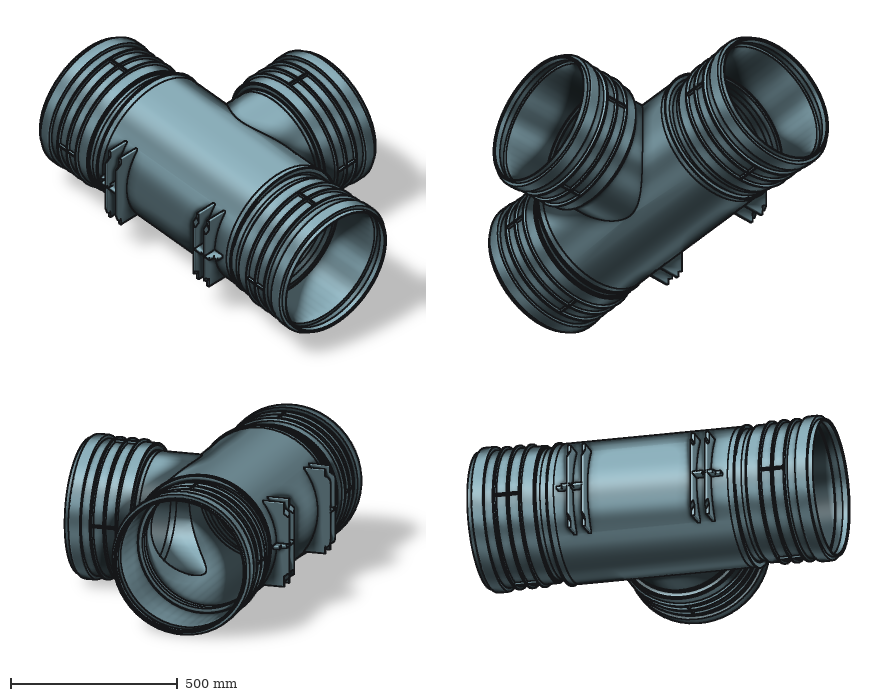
import cadquery as cq

RUN_LENGTH = 1076.2
BRANCH_END_Y = 476.0
TOTAL_DEPTH = 714.0
FOOT_BASE_Y = BRANCH_END_Y - TOTAL_DEPTH

SOCKET_LENGTH = 224.6
SHELL_DIA = 415.0
SHELL_END = 206.0
SHELL_CHAMFER = 2.5
SHOULDER_START = 208.5
SHOULDER_END = 212.0
SHOULDER_STEP = 2.0
SEAT_DIA = 404.0
SEAT_DEPTH = 206.0
SEAT_CHAMFER = 2.0
MOUTH_CHAMFER = 3.0

BEAD_DIA = 438.1
BEAD_START = 15.0
BEAD_END = 53.0
BEAD_FLANK = 1.0
BEAD_CHAMFER_LENGTH = 5.0
BEAD_CHAMFER_DEPTH = 1.0
GROOVE_DIA = 427.1
GROOVE_START = 21.0
GROOVE_END = 46.0

RIB_DIA = 431.0
RIBS = (
    (79.0, 84.0, 89.0, 92.0),
    (122.0, 124.5, 128.5, 131.0),
    (160.0, 163.0, 166.0, 169.0),
)
AXIAL_RIB_ROOT_WIDTH = 10.0
AXIAL_RIB_CREST_WIDTH = 4.0
AXIAL_RIB_DROP = 0.5
AXIAL_RIB_COUNT = 4

RUN_NECK_DIA = 400.0
RUN_NECK_BORE = 375.4
BRANCH_NECK_DIA = 371.0
BRANCH_NECK_BORE = 356.8

TUBE_DIA = 424.0
TUBE_BORE = 399.4
TUBE_AXIS_Y = (TUBE_DIA - RUN_NECK_DIA) / 2
BRANCH_DIA = 370.2
BRANCH_BORE = 356.2

REDUCER_NECK_DIA = 399.5
REDUCER_NECK_LENGTH = 18.0
REDUCER_CONE_LENGTH = 2.0
REDUCER_LENGTH = 42.4
COLLAR_DIA = 432.0
COLLAR_WIDTH = 3.2

TUBE_HALF = RUN_LENGTH / 2 - SOCKET_LENGTH - REDUCER_LENGTH

PLATE_THICKNESS = 10.0
PLATE_EDGE_RADIUS = 2.5
PLATE_HALF_HEIGHT = 131.0
OUTER_PLATE_X = 215.2
INNER_PLATE_X = 169.8
PLATE_ROOT_Y = -140.0
CORNER_NOTCH_Y = -222.5
NOTCH_Z_OUTER = 98.0
NOTCH_Z_INNER = 114.0
NOTCH_Z_DROP = 11.0
WEB_END_X = 255.7
WEB_STEP_Y = -221.7
WEB_STEP_X = 240.0
WEB_TOE_X = 236.0
WEB_ROOT_Y = -185.0
SLOT_WIDTH = 7.5
SLOT_FLOOR_Y = -226.0


def disc(dia, start, length, axis_y=0.0):
    """Cylinder along +X."""
    plane = cq.Workplane("YZ", origin=(start, axis_y, 0))
    return plane.circle(dia / 2).extrude(length)


def socket_shell_points(neck_dia, neck_bore):
    """Half section of a socket as (distance from the mouth, radius)."""
    shell_r = SHELL_DIA / 2
    bead_r = BEAD_DIA / 2
    rib_r = RIB_DIA / 2
    shoulder_r = neck_dia / 2 + SHOULDER_STEP
    seat_r = SEAT_DIA / 2
    groove_r = GROOVE_DIA / 2
    points = [
        (seat_r + MOUTH_CHAMFER, 0),
        (shell_r, 0),
        (shell_r, BEAD_START),
        (bead_r - BEAD_CHAMFER_DEPTH, BEAD_START + BEAD_FLANK),
        (bead_r, BEAD_START + BEAD_FLANK + BEAD_CHAMFER_LENGTH),
        (bead_r, BEAD_END - BEAD_FLANK - BEAD_CHAMFER_LENGTH),
        (bead_r - BEAD_CHAMFER_DEPTH, BEAD_END - BEAD_FLANK),
        (shell_r, BEAD_END),
    ]
    for base_start, crest_start, crest_end, base_end in RIBS:
        points += [
            (shell_r, base_start),
            (rib_r, crest_start),
            (rib_r, crest_end),
            (shell_r, base_end),
        ]
    points += [
        (shell_r, SHELL_END),
        (shell_r - SHELL_CHAMFER, SHOULDER_START),
        (shoulder_r, SHOULDER_START),
        (neck_dia / 2, SHOULDER_END),
        (neck_dia / 2, SOCKET_LENGTH),
        (neck_bore / 2, SOCKET_LENGTH),
        (neck_bore / 2, SEAT_DEPTH),
        (seat_r - SEAT_CHAMFER, SEAT_DEPTH),
        (seat_r, SEAT_DEPTH - SEAT_CHAMFER),
        (seat_r, GROOVE_END),
        (groove_r, GROOVE_END),
        (groove_r, GROOVE_START),
        (seat_r, GROOVE_START),
        (seat_r, MOUTH_CHAMFER),
    ]
    return [(along, radius) for radius, along in points]


def make_socket(neck_dia, neck_bore):
    """Socket along +X with its mouth at the origin."""
    outline = socket_shell_points(neck_dia, neck_bore)
    socket = cq.Workplane("XY").polyline(outline).close().revolve(360, (0, 0, 0), (1, 0, 0))
    rib_start = (RIBS[0][1] + RIBS[0][2]) / 2
    rib_end = (RIBS[-1][1] + RIBS[-1][2]) / 2
    rib_root = (SEAT_DIA + SHELL_DIA) / 4
    rib_crest = RIB_DIA / 2 - AXIAL_RIB_DROP
    rib = (
        cq.Workplane("YZ", origin=(rib_start, 0, 0))
        .polyline([
            (-AXIAL_RIB_ROOT_WIDTH / 2, rib_root),
            (AXIAL_RIB_ROOT_WIDTH / 2, rib_root),
            (AXIAL_RIB_CREST_WIDTH / 2, rib_crest),
            (-AXIAL_RIB_CREST_WIDTH / 2, rib_crest),
        ])
        .close()
        .extrude(rib_end - rib_start)
    )
    for index in range(AXIAL_RIB_COUNT):
        socket = socket.union(rib.rotate((0, 0, 0), (1, 0, 0), index * 360 / AXIAL_RIB_COUNT))
    return socket


def eccentric_cone(neck_dia, tube_dia):
    """Skewed cone from the neck circle to the shifted tube circle."""
    start = cq.Workplane("YZ", origin=(REDUCER_NECK_LENGTH, 0, 0)).circle(neck_dia / 2)
    end = start.workplane(offset=REDUCER_CONE_LENGTH).center(TUBE_AXIS_Y, 0)
    return end.circle(tube_dia / 2).loft(ruled=True)


def make_reducer():
    """Reducer along +X with its neck end at the origin."""
    cone_end = REDUCER_NECK_LENGTH + REDUCER_CONE_LENGTH
    skirt_length = REDUCER_LENGTH - cone_end
    outside = (
        disc(REDUCER_NECK_DIA, 0, REDUCER_NECK_LENGTH)
        .union(eccentric_cone(REDUCER_NECK_DIA, TUBE_DIA))
        .union(disc(TUBE_DIA, cone_end, skirt_length, TUBE_AXIS_Y))
        .union(disc(COLLAR_DIA, cone_end, COLLAR_WIDTH, TUBE_AXIS_Y))
    )
    return (
        outside.cut(disc(RUN_NECK_BORE, 0, REDUCER_NECK_LENGTH))
        .cut(eccentric_cone(RUN_NECK_BORE, TUBE_BORE))
        .cut(disc(TUBE_BORE, cone_end, skirt_length, TUBE_AXIS_Y))
    )


def foot_plate(centre_x):
    """Upright plate with its two outer corners cut by skewed notches."""
    outer_x = centre_x - PLATE_THICKNESS / 2
    inner_x = centre_x + PLATE_THICKNESS / 2
    plate = cq.Workplane("XY").box(
        PLATE_THICKNESS, PLATE_ROOT_Y - FOOT_BASE_Y, 2 * PLATE_HALF_HEIGHT
    ).translate((centre_x, (PLATE_ROOT_Y + FOOT_BASE_Y) / 2, 0))
    plate = plate.faces("<X or >X").edges().fillet(PLATE_EDGE_RADIUS)

    def notch_outline(drop):
        return [
            (outer_x, NOTCH_Z_OUTER - drop),
            (inner_x, NOTCH_Z_INNER - drop),
            (inner_x, PLATE_HALF_HEIGHT),
            (outer_x, PLATE_HALF_HEIGHT),
        ]

    notch = (
        cq.Workplane("XZ", origin=(0, CORNER_NOTCH_Y, 0))
        .polyline(notch_outline(0)).close()
        .workplane(offset=CORNER_NOTCH_Y - FOOT_BASE_Y)
        .polyline(notch_outline(NOTCH_Z_DROP)).close()
        .loft(ruled=True)
    )
    return plate.cut(notch).cut(notch.mirror("XY"))


def make_foot():
    """Foot at the -X end of the tube."""
    slot_x = -OUTER_PLATE_X + PLATE_THICKNESS / 2
    web = (
        cq.Workplane("XY", origin=(0, 0, -PLATE_THICKNESS / 2))
        .polyline([
            (-WEB_END_X, WEB_ROOT_Y),
            (-WEB_END_X, WEB_STEP_Y),
            (-WEB_STEP_X, WEB_STEP_Y),
            (-WEB_TOE_X, FOOT_BASE_Y),
            (slot_x, FOOT_BASE_Y),
            (slot_x, SLOT_FLOOR_Y),
            (slot_x + SLOT_WIDTH, SLOT_FLOOR_Y),
            (slot_x + SLOT_WIDTH, FOOT_BASE_Y),
            (-INNER_PLATE_X, FOOT_BASE_Y),
            (-INNER_PLATE_X, WEB_ROOT_Y),
        ])
        .close()
        .extrude(PLATE_THICKNESS)
        .faces("<Z or >Z").edges().fillet(PLATE_EDGE_RADIUS)
    )
    return web.union(foot_plate(-OUTER_PLATE_X)).union(foot_plate(-INNER_PLATE_X))


def make_tee():
    """Run tube with its branch stub and both feet."""
    stub_length = BRANCH_END_Y - SOCKET_LENGTH - TUBE_AXIS_Y
    stub_plane = cq.Workplane("XZ", origin=(0, TUBE_AXIS_Y, 0))
    foot = make_foot()
    return (
        disc(TUBE_DIA, -TUBE_HALF, 2 * TUBE_HALF, TUBE_AXIS_Y)
        .union(stub_plane.circle(BRANCH_DIA / 2).extrude(-stub_length))
        .union(foot)
        .union(foot.mirror("YZ"))
        .cut(disc(TUBE_BORE, -TUBE_HALF, 2 * TUBE_HALF, TUBE_AXIS_Y))
        .cut(stub_plane.circle(BRANCH_BORE / 2).extrude(-stub_length))
    )


tee = make_tee()

reducer = make_reducer().translate((-RUN_LENGTH / 2 + SOCKET_LENGTH, 0, 0))
reducers = [reducer, reducer.mirror("YZ")]

run_socket = make_socket(RUN_NECK_DIA, RUN_NECK_BORE).translate((-RUN_LENGTH / 2, 0, 0))
run_sockets = [run_socket, run_socket.mirror("YZ")]

branch_socket = (
    make_socket(BRANCH_NECK_DIA, BRANCH_NECK_BORE)
    .rotate((0, 0, 0), (0, 0, 1), -90)
    .translate((0, BRANCH_END_Y, 0))
)

bodies = [tee, *reducers, *run_sockets, branch_socket]
result = cq.Compound.makeCompound([body.solids().val() for body in bodies])